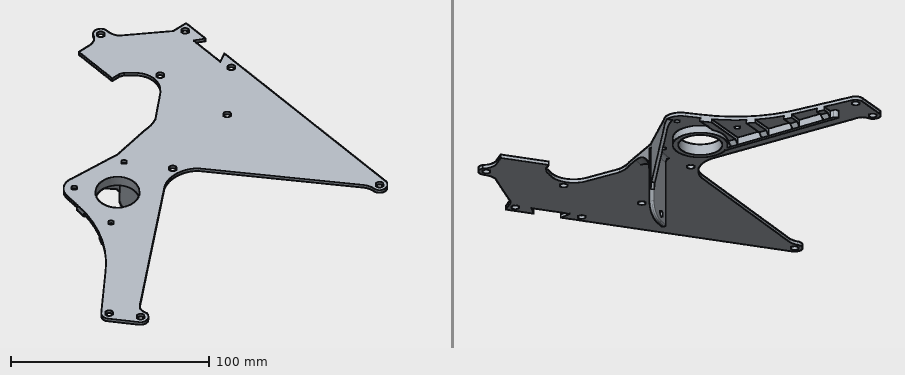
import cadquery as cq
import math

plate_thickness = 2.0
plate_top_y = 106.6

bore_radius = 11.1
screw_hole_radius = 2.0
small_hole_radius = 1.5
small_hole_circle = 22.0
small_hole_angles = (130, 220, 310)

lug_radius = 4.0
arm_upper_lug_mid_angle = 15
corner_lug = (83.3, plate_top_y - lug_radius)
side_lug = (-91.0, 69.0)
arm_upper_lug = (74.9, -50.7)
arm_lower_lug = (62.5, -60.9)
inner_screw_holes = [
    (-64.7, corner_lug[1]),
    (-29.5, corner_lug[1]),
    (-5.5, 78.5),
    (-49.0, 72.0),
    (5.5, 32.3),
]

notch_center_x = -46.5
notch_mouth_half = 7.1
notch_floor_half = 10.2
notch_depth = 5.5

tab_thickness = 2.4
tab_back_corner = (-11.0, 29.5)
tab_angle = 45
tab_length = 14.0
tab_bottom = 40.0
tab_corner_radius = 8.4
tab_edge_rounding = 0.7
tab_hole_radius = 1.6
tab_hole_inset = 4.7
tab_hole_depth = 35.0
tab_back_root_radius = 11.7
tab_front_root_radius = 2.0
root_length = 27.3

gusset_thickness = 2.0
gusset_top_y = 18.0
gusset_deep_y = 16.2
gusset_end_y = -14.8
gusset_tab_depth = 25.3
gusset_deep_depth = 22.2
gusset_min_x = -25.5
gusset_max_x = -12.8

stiffener_angle = -50.5
stiffener_depth = 6.0
ring_outer_radius = 13.9
wall_offset = 9.8
wall_thickness = 2.0
wall_end = 75.0
rib_depth = 3.8
rib_width = 4.2
rib_first = 14.0
rib_pitch = 18.4
rib_count = 4
rib_reach = 36.5


def on_circle(center, radius, angle):
    """Point on a circle at an angle in degrees."""
    a = math.radians(angle)
    return (center[0] + radius * math.cos(a), center[1] + radius * math.sin(a))


def on_lug(center, angle):
    """Point on the rim of a lug at an angle in degrees."""
    return on_circle(center, lug_radius, angle)


def outline_prism(depth):
    """Prism of the plate outline, from the top face down to a depth."""
    dx = arm_upper_lug[0] - arm_lower_lug[0]
    dy = arm_upper_lug[1] - arm_lower_lug[1]
    arm_end_normal = math.degrees(math.atan2(dy, dx)) - 90
    notch_floor_y = plate_top_y - notch_depth
    outline = (
        cq.Workplane("XY")
        .moveTo(-68.5, plate_top_y)
        .lineTo(notch_center_x - notch_mouth_half, plate_top_y)
        .lineTo(notch_center_x - notch_floor_half, notch_floor_y)
        .lineTo(notch_center_x + notch_floor_half, notch_floor_y)
        .lineTo(notch_center_x + notch_mouth_half, plate_top_y)
        .lineTo(*on_lug(corner_lug, 90))
        .threePointArc(on_lug(corner_lug, 0), on_lug(corner_lug, -90))
        .threePointArc((80.5, 97.9), (78.2, 96.5))
        .lineTo(14.0, 42.0)
        .threePointArc((9.7, 31.5), (12.5, 20.5))
        .lineTo(67.5, -44.3)
        .threePointArc((70.4, -46.8), on_lug(arm_upper_lug, 90))
        .threePointArc(
            on_lug(arm_upper_lug, arm_upper_lug_mid_angle),
            on_lug(arm_upper_lug, arm_end_normal),
        )
        .lineTo(*on_lug(arm_lower_lug, arm_end_normal))
        .threePointArc(on_lug(arm_lower_lug, -90), on_lug(arm_lower_lug, -135))
        .lineTo(39.2, -42.8)
        .threePointArc((17.3, -27.0), (-6.5, -21.3))
        .lineTo(-14.5, -20.8)
        .threePointArc((-20.8, -17.9), (-22.6, -10.4))
        .lineTo(-20.6, 16.2)
        .threePointArc((-20.5, 17.7), (-20.6, 19.0))
        .lineTo(-24.5, 40.0)
        .threePointArc((-25.2, 44.8), (-27.0, 49.2))
        .lineTo(-39.2, 63.2)
        .threePointArc((-49.0, 68.0), (-58.0, 64.3))
        .lineTo(-62.3, 59.6)
        .lineTo(-63.2, 57.0)
        .lineTo(-63.2, 52.3)
        .lineTo(-88.8, 52.3)
        .lineTo(-88.8, 59.0)
        .threePointArc((-90.2, 63.8), on_lug(side_lug, -135))
        .threePointArc(on_lug(side_lug, 180), on_lug(side_lug, 90))
        .threePointArc((-87.1, 73.6), (-84.2, 75.3))
        .lineTo(-68.5, 98.0)
        .close()
    )
    return outline.extrude(-depth)


def make_root(tab_plane, face, reach):
    """Concave root between the plate and one tab face; reach is negative behind the tab."""
    root_plane = cq.Plane(
        origin=tab_plane.origin,
        xDir=tab_plane.zDir,
        normal=-tab_plane.xDir,
    )
    return (
        cq.Workplane(root_plane)
        .moveTo(face, 0)
        .lineTo(face, -plate_thickness - abs(reach))
        .radiusArc((face + reach, -plate_thickness), reach)
        .lineTo(face + reach, 0)
        .close()
        .extrude(root_length)
    )


def make_tab():
    """Hanging tab with a hole and concave roots that are trimmed to the plate outline."""
    plane = cq.Plane(
        origin=(tab_back_corner[0], tab_back_corner[1], 0),
        xDir=on_circle((0, 0), 1, tab_angle) + (0,),
        normal=on_circle((0, 0), 1, tab_angle - 90) + (0,),
    )
    tab = (
        cq.Workplane(plane)
        .moveTo(0, 0)
        .lineTo(0, -tab_bottom)
        .lineTo(-tab_length + tab_corner_radius, -tab_bottom)
        .radiusArc((-tab_length, -tab_bottom + tab_corner_radius), tab_corner_radius)
        .lineTo(-tab_length, 0)
        .close()
        .extrude(tab_thickness)
    )
    tab = tab.edges("%CIRCLE").fillet(tab_edge_rounding)
    tab_hole = (
        cq.Workplane(plane)
        .center(-tab_hole_inset, -tab_hole_depth)
        .circle(tab_hole_radius)
        .extrude(tab_thickness)
    )
    back_root = make_root(plane, 0, -tab_back_root_radius)
    front_root = make_root(plane, tab_thickness, tab_front_root_radius)
    roots = back_root.union(front_root).intersect(outline_prism(tab_bottom))
    return tab.cut(tab_hole).union(roots)


def make_gusset():
    """Thin wall flush with the left edge, with a sloped lower edge."""
    prism = outline_prism(tab_bottom)
    inside = prism.translate((gusset_thickness, gusset_thickness, 0))
    profile = (
        cq.Workplane("YZ", origin=(gusset_max_x, 0, 0))
        .polyline([
            (gusset_top_y, 0),
            (gusset_top_y, -gusset_tab_depth),
            (gusset_deep_y, -gusset_deep_depth),
            (gusset_end_y, -plate_thickness),
            (gusset_end_y, 0),
        ])
        .close()
        .extrude(gusset_min_x - gusset_max_x)
    )
    return prism.cut(inside).intersect(profile)


def make_stiffeners():
    """Ring round the bore, a straight wall along the arm and its cross ribs."""
    ring = cq.Workplane("XY").circle(ring_outer_radius).extrude(-stiffener_depth)
    wall = (
        cq.Workplane("XY")
        .moveTo(0, wall_offset)
        .lineTo(wall_end - wall_thickness, wall_offset)
        .radiusArc((wall_end, wall_offset + wall_thickness), -wall_thickness)
        .lineTo(0, wall_offset + wall_thickness)
        .close()
        .extrude(-stiffener_depth)
    )
    stiffeners = ring.union(wall)
    slope_start = wall_offset - (stiffener_depth - rib_depth)
    for i in range(rib_count):
        rib_start = rib_first + i * rib_pitch - rib_width / 2
        rib = (
            cq.Workplane("YZ", origin=(rib_start, 0, 0))
            .polyline([
                (wall_offset, 0),
                (wall_offset, -stiffener_depth),
                (slope_start, -rib_depth),
                (wall_offset - rib_reach, -rib_depth),
                (wall_offset - rib_reach, 0),
            ])
            .close()
            .extrude(rib_width)
        )
        stiffeners = stiffeners.union(rib)
    stiffeners = stiffeners.rotate((0, 0, 0), (0, 0, 1), stiffener_angle)
    return stiffeners.intersect(outline_prism(stiffener_depth))


def drill(points, radius):
    """Cutting cylinders through the plate and its stiffeners."""
    return cq.Workplane("XY").pushPoints(points).circle(radius).extrude(-stiffener_depth)


screw_holes = [corner_lug, side_lug, arm_upper_lug, arm_lower_lug] + inner_screw_holes
small_holes = [on_circle((0, 0), small_hole_circle, angle) for angle in small_hole_angles]

result = (
    outline_prism(plate_thickness)
    .union(make_tab())
    .union(make_gusset())
    .union(make_stiffeners())
    .cut(drill([(0, 0)], bore_radius))
    .cut(drill(screw_holes, screw_hole_radius))
    .cut(drill(small_holes, small_hole_radius))
)